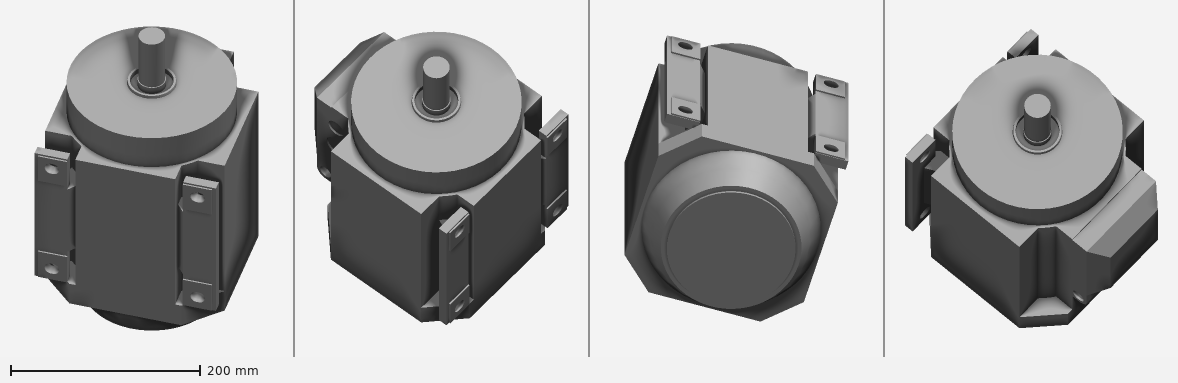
import cadquery as cq
import math


overall_height = 351.0
tail_disc_top = 3.0
cowl_top = 43.0
notch_floor = 70.5
body_top = 245.7
flange_top = 286.0
seal_ring_top = 289.2
collar_top = 291.5
seal_recess_floor = 283.0

tail_disc_radius = 68.0
cowl_tail_radius = 74.5
cowl_body_radius = 94.8
flange_radius = 90.2
seal_ring_base_radius = 26.5
seal_ring_top_radius = 25.5
seal_recess_radius = 23.0
collar_radius = 15.0
shaft_radius = 14.0

body_half_width = 99.0
body_half_depth = 98.3
corner_flat_x = 61.8
corner_flat_y = 62.5
core_radius = 93.5
notch_side_x = 55.0

foot_inner_x = 64.0
foot_outer_x = 100.0
foot_thickness = 10.5
foot_bottom = 72.5
foot_top = 244.0
foot_top_y = foot_thickness - body_half_depth
pad_outer_x = 95.8
pad_thickness = 1.8
pad_spans = ((73.5, 108.8), (207.8, 242.0))
slot_x = 80.5
slot_length = 16.0
slot_width = 13.7
slot_heights = (88.5, 228.0)
web_bottom = 114.8
web_top = 202.0
web_outer_x = 81.8

box_half_width = notch_side_x
box_bottom = 104.2
box_top = foot_top
box_base_y = 118.5
lid_y = 137.0
lid_half_width = 37.5
lid_base_bottom = 134.0
lid_bottom = 151.3
lid_top = 226.7
eye_radius = 7.7
eye_wall = 12.0
entry_y = 92.3
entry_depth = 2.0
cable_entries = ((211.3, 10.5), (177.3, 13.0))


def block(x_span, y_span, z_span):
    """Box between the given limits on each axis."""
    corner = (x_span[0], y_span[0], z_span[0])
    size = (x_span[1] - x_span[0], y_span[1] - y_span[0], z_span[1] - z_span[0])
    return cq.Workplane("XY").box(*size, centered=False).translate(corner)


def prism(points, bottom, top):
    """Upright prism from an outline in X and Y."""
    return cq.Workplane("XY").workplane(offset=bottom).polyline(points).close().extrude(top - bottom)


def cylinder(radius, bottom, top):
    return cq.Workplane("XY").workplane(offset=bottom).circle(radius).extrude(top - bottom)


def mirror_pair(solid):
    """A right-hand solid together with its left-hand twin."""
    return solid.union(solid.mirror("YZ"))


def make_body():
    corners = [
        (corner_flat_x, body_half_depth),
        (body_half_width, corner_flat_y),
        (body_half_width, -corner_flat_y),
        (corner_flat_x, -body_half_depth),
    ]
    outline = corners + [(-x, y) for x, y in reversed(corners)]
    octagon = prism(outline, cowl_top, body_top)

    notches = cq.Workplane("XY")
    for side in (-1, 1):
        for end in (-1, 1):
            x_span = sorted((side * notch_side_x, side * body_half_width))
            y_span = sorted((end * corner_flat_y, end * body_half_depth))
            notches = notches.add(block(x_span, y_span, (notch_floor, body_top)))
    core = cylinder(core_radius, notch_floor, body_top)
    return octagon.cut(notches.combine().cut(core))


def make_turned_parts():
    """Tail, cowl, drive-end flange, seal ring and shaft as one revolved half profile."""
    profile = [
        (0, 0),
        (tail_disc_radius, 0),
        (tail_disc_radius, tail_disc_top),
        (cowl_tail_radius, tail_disc_top),
        (cowl_body_radius, cowl_top),
        (flange_radius, cowl_top),
        (flange_radius, flange_top),
        (seal_ring_base_radius, flange_top),
        (seal_ring_top_radius, seal_ring_top),
        (seal_recess_radius, seal_ring_top),
        (seal_recess_radius, seal_recess_floor),
        (collar_radius, seal_recess_floor),
        (collar_radius, collar_top),
        (shaft_radius, collar_top),
        (shaft_radius, overall_height),
        (0, overall_height),
    ]
    return cq.Workplane("XZ").polyline(profile).close().revolve(360, (0, 0, 0), (0, 1, 0))


def make_feet():
    """Right foot rail with its pads, slots and web, mirrored to the left."""
    rail = block((foot_inner_x, foot_outer_x), (-body_half_depth, foot_top_y), (foot_bottom, foot_top))
    pad_y_span = (-body_half_depth - pad_thickness, -body_half_depth)
    for pad_span in pad_spans:
        rail = rail.union(block((foot_inner_x, pad_outer_x), pad_y_span, pad_span))
    for height in slot_heights:
        slot = (
            cq.Workplane("XZ", origin=(slot_x, foot_top_y, height))
            .slot2D(slot_length, slot_width)
            .extrude(foot_thickness + pad_thickness)
        )
        rail = rail.cut(slot)

    core_edge_x = math.sqrt(core_radius**2 - corner_flat_y**2)
    web_outline = [
        (notch_side_x, -corner_flat_y),
        (core_edge_x, -corner_flat_y),
        (web_outer_x, foot_top_y),
        (foot_inner_x, foot_top_y),
        (foot_inner_x, -body_half_depth),
        (notch_side_x, foot_top_y),
    ]
    return mirror_pair(rail.union(prism(web_outline, web_bottom, web_top)))


def make_terminal_box():
    base = block((-box_half_width, box_half_width), (0, box_base_y), (box_bottom, box_top))
    eye_y = box_base_y - eye_wall
    eye_z = box_bottom + eye_wall
    base = base.edges("|X and >Y and <Z").fillet(eye_wall)

    lid_base_height = box_top - lid_base_bottom
    lid_base_z = (box_top + lid_base_bottom) / 2
    lid_center_z = (lid_top + lid_bottom) / 2
    lid = (
        cq.Workplane("XZ", origin=(0, box_base_y, lid_base_z))
        .rect(2 * box_half_width, lid_base_height)
        .workplane(offset=box_base_y - lid_y)
        .center(0, lid_center_z - lid_base_z)
        .rect(2 * lid_half_width, lid_top - lid_bottom)
        .loft(ruled=True)
    )
    eye = (
        cq.Workplane("YZ", origin=(-box_half_width, eye_y, eye_z))
        .circle(eye_radius)
        .extrude(2 * box_half_width)
    )
    return base.union(lid).cut(eye)


def make_cable_entries():
    """Blind round entries in the -X side of the terminal box."""
    entries = cq.Workplane("XY")
    for height, radius in cable_entries:
        entry = cq.Workplane("YZ", origin=(-box_half_width, entry_y, height)).circle(radius).extrude(entry_depth)
        entries = entries.add(entry)
    return entries.combine()


result = (
    make_body()
    .union(make_turned_parts())
    .union(make_feet())
    .union(make_terminal_box())
    .cut(make_cable_entries())
)